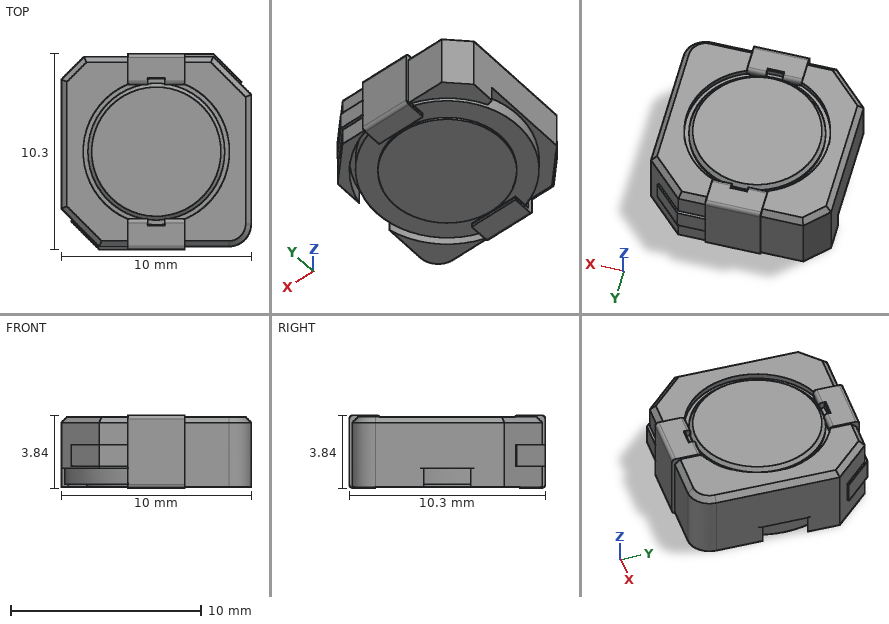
import cadquery as cq
import math

shell_bottom = 0.05
shell_top = 3.75
clip_top = 3.84

half_side = 5.0
small_corner_cut = 1.2
large_corner_cut = 2.0
corner_radius = 1.2
top_chamfer = 0.3
bore_diameter = 7.7
cavity_diameter = 10.3
cavity_top = 1.05
slot_end_y = 2.33
slot_end_angle = 16.0

flange_diameter = 9.66
boss_diameter = 7.31
flange_bottom = 0.2
top_flange_diameter = 7.2
top_flange_chamfer = 0.2
groove_depth = 0.3
groove_floor = shell_top - groove_depth

clip_thickness = 0.33
clip_width = 3.0
clip_projection = 0.16
clip_outer_y = half_side + clip_projection
foot_thickness = 0.25
foot_inner_y = 3.8
bend_radius = 0.2
lip_face_y = 3.53
notch_width = 0.9
notch_back_y = 3.9
strap_thickness = 0.15
strap_bottom = 1.16
strap_top = 2.29
strap_end_x = -4.41


def disc(diameter, bottom, top):
    """Upright cylinder on the Z axis."""
    return cq.Workplane("XY").workplane(offset=bottom).circle(diameter / 2).extrude(top - bottom)


def box(x0, x1, y0, y1, z0, z1):
    """Block between two opposite corners."""
    return cq.Workplane("XY").box(x1 - x0, y1 - y0, z1 - z0, centered=False).translate((x0, y0, z0))


def shell_block(height):
    """Shell outline raised from Z = 0, before the cavity and chamfer."""
    large = half_side - large_corner_cut
    small = half_side - small_corner_cut
    outline = [
        (-large, -half_side),
        (half_side, -half_side),
        (half_side, large),
        (large, half_side),
        (-small, half_side),
        (-half_side, small),
        (-half_side, -large),
    ]
    block = cq.Workplane("XY").polyline(outline).close().extrude(height)
    return block.edges("|Z and >X and <Y").fillet(corner_radius)


def lead_out_slot():
    """Opening under the cut corner at -X -Y; its +Y end face is slightly slanted."""
    slant_drop = half_side * math.tan(math.radians(slot_end_angle))
    outline = [
        (-half_side, slot_end_y),
        (0, slot_end_y - slant_drop),
        (0, -half_side),
        (-half_side, -half_side),
    ]
    return cq.Workplane("XY").polyline(outline).close().extrude(cavity_top)


def make_clip():
    """Terminal clip on the -Y side, bent from the foot up around the shell and down into the bore."""
    profile = [
        (-foot_inner_y, 0),
        (-clip_outer_y, 0),
        (-clip_outer_y, clip_top),
        (-lip_face_y, clip_top),
        (-lip_face_y, groove_floor),
        (-lip_face_y - clip_thickness, groove_floor),
        (-lip_face_y - clip_thickness, clip_top - clip_thickness),
        (-clip_outer_y + clip_thickness, clip_top - clip_thickness),
        (-clip_outer_y + clip_thickness, foot_thickness),
        (-foot_inner_y, foot_thickness),
    ]
    clip = cq.Workplane("YZ").polyline(profile).close().extrude(clip_width / 2, both=True)
    clip = clip.edges("|X and (<Y or >Z)").fillet(bend_radius)
    half_notch = notch_width / 2
    notch = box(-half_notch, half_notch, -notch_back_y, -lip_face_y, groove_floor, clip_top)
    return clip.cut(notch)


def make_strap():
    """Strap from the -Y clip around the cut corner, following the shell outline."""
    strap_height = strap_top - strap_bottom
    outline = shell_block(strap_height)
    strap = outline.translate((0, -strap_thickness, 0)).cut(outline)
    end_y = -2 * half_side + large_corner_cut - strap_end_x
    start_x = -clip_width / 2
    reach = clip_outer_y
    limits = [
        (strap_end_x, end_y),
        (strap_end_x - reach, end_y - reach),
        (start_x, end_y - reach),
        (start_x, end_y),
    ]
    window = cq.Workplane("XY").polyline(limits).close().extrude(strap_height)
    return strap.intersect(window).translate((0, 0, strap_bottom))


def make_shell():
    """Shell with a terminal on the -Y side and a second one turned half a turn about Z."""
    block = shell_block(shell_top - shell_bottom).faces(">Z").edges().chamfer(top_chamfer)
    block = block.translate((0, 0, shell_bottom))
    bore = disc(bore_diameter, 0, shell_top)
    cavity = disc(cavity_diameter, 0, cavity_top)
    body = block.cut(bore).cut(cavity).cut(lead_out_slot())
    terminal = make_clip().union(make_strap())
    for turn in (0, 180):
        body = body.union(terminal.rotate((0, 0, 0), (0, 0, 1), turn))
    return body


def make_core(surround):
    """Stepped round core, relieved where the clips of the surrounding shell reach into it."""
    boss = disc(boss_diameter, shell_bottom, flange_bottom)
    flange = disc(flange_diameter, flange_bottom, cavity_top)
    winding = disc(bore_diameter, cavity_top, groove_floor)
    top_flange = disc(top_flange_diameter, groove_floor, shell_top)
    top_flange = top_flange.faces(">Z").chamfer(top_flange_chamfer)
    return boss.union(flange).union(winding).union(top_flange).cut(surround)


shell = make_shell()
core = make_core(shell)
result = cq.Compound.makeCompound([*shell.solids().vals(), *core.solids().vals()])